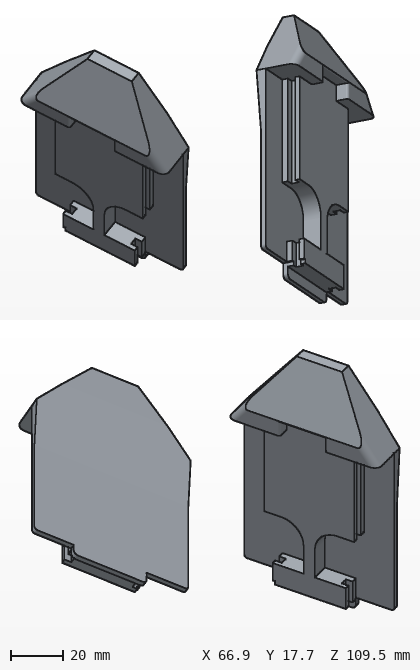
import cadquery as cq

total_height = 109.5
total_width = 66.9
half_width = total_width / 2
depth = 17.7

plate_back = 3.0
plate_front = 5.0
plate_bottom = 5.3
plate_corner_radius = 1.5
tongue_corner_radius = 2.0

head_bottom = 79.7
head_top_half_width = 10.1
head_top_thickness = 4.9
head_slope_end = 86.7
head_edge_radius = 3.0

taper_bottom = 54.8
taper_top = 93.1

raised_front = 12.6
block_half_width = 19.9
block_bottom = 37.6
neck_half_width = 2.5
neck_radius = 10.0
foot_half_width = 16.3
foot_bottom = 4.6
foot_top = 14.5

groove_back = 7.6
groove_front = 10.6
groove_depth = 3.0

step_height = 6.2
step_edge = 15.3

notch_half_width = 10.0
notch_side_radius = 1.0
notch_top_radius = 0.5
notch_top = head_slope_end - notch_top_radius


def box(x_min, x_max, back, front, z_min, z_max):
    """Box between two X limits, two distances in front of Y = 0 and two heights."""
    size = (x_max - x_min, front - back, z_max - z_min)
    return cq.Workplane("XY").box(*size, centered=False).translate((x_min, -front, z_min))


def side_prism(points):
    """Prism across the full width from (distance from the back, height) points."""
    profile = cq.Workplane("YZ").polyline([(-distance, z) for distance, z in points]).close()
    return profile.extrude(half_width, both=True)


def make_plate():
    plate = box(-half_width, half_width, 0, plate_front, plate_bottom, head_bottom)
    left_step = box(-half_width, -step_edge, 0, plate_front, plate_bottom, step_height)
    plate = plate.cut(left_step)
    plate = plate.edges("|Y and >X").edges("<Z").fillet(plate_corner_radius)
    plate = plate.edges("|Y and <X").edges("<Z").fillet(plate_corner_radius)
    tongue = box(-step_edge, foot_half_width, 0, plate_front, 0, foot_top)
    tongue = tongue.edges("|Y and <Z").fillet(tongue_corner_radius)
    return plate.union(tongue)


def make_head():
    head = (
        cq.Workplane("XZ")
        .moveTo(-half_width, head_bottom)
        .lineTo(half_width, head_bottom)
        .lineTo(head_top_half_width, total_height)
        .lineTo(-head_top_half_width, total_height)
        .close()
        .extrude(depth)
    )
    head = head.faces("<Y").edges("not |X").fillet(head_edge_radius)
    slope = side_prism([
        (head_top_thickness, total_height),
        (depth, head_slope_end),
        (depth, total_height),
    ])
    return head.cut(slope)


def make_raised_section():
    block = box(-block_half_width, block_half_width, plate_front, raised_front, block_bottom, head_bottom)
    foot = box(-foot_half_width, foot_half_width, plate_front, raised_front, foot_bottom, foot_top)
    neck_outer = neck_half_width + neck_radius
    arc_bottom = block_bottom - neck_radius
    neck = (
        cq.Workplane("XZ", origin=(0, -plate_front, 0))
        .moveTo(-neck_half_width, foot_top)
        .lineTo(neck_half_width, foot_top)
        .lineTo(neck_half_width, arc_bottom)
        .radiusArc((neck_outer, block_bottom), neck_radius)
        .lineTo(-neck_outer, block_bottom)
        .radiusArc((-neck_half_width, arc_bottom), neck_radius)
        .close()
        .extrude(raised_front - plate_front)
    )
    raised = block.union(neck).union(foot)
    for outer, z_min, z_max in (
        (block_half_width, block_bottom, head_bottom),
        (foot_half_width, foot_bottom, foot_top),
    ):
        inner = outer - groove_depth
        raised = raised.cut(box(inner, outer, groove_back, groove_front, z_min, z_max))
        raised = raised.cut(box(-outer, -inner, groove_back, groove_front, z_min, z_max))
    foot_step = box(-foot_half_width, -step_edge, plate_front, raised_front, foot_bottom, step_height)
    return raised.cut(foot_step)


def make_notch():
    """Notch open at the front, flared outward to round over its front edges."""
    flare_start = depth - notch_side_radius
    top_flare_start = depth - notch_top_radius
    flare_half_width = notch_half_width + notch_side_radius
    notch = box(-notch_half_width, notch_half_width, raised_front, depth, head_bottom, notch_top)
    flare = box(-flare_half_width, flare_half_width, flare_start, depth, head_bottom, head_slope_end)
    for side in (-1, 1):
        side_rounding = (
            cq.Workplane("XY", origin=(side * flare_half_width, -flare_start, head_bottom))
            .circle(notch_side_radius)
            .extrude(head_slope_end - head_bottom)
        )
        flare = flare.cut(side_rounding)
    top_rounding = (
        cq.Workplane("YZ", origin=(0, -top_flare_start, head_slope_end))
        .circle(notch_top_radius)
        .extrude(flare_half_width, both=True)
    )
    above_ceiling = box(
        -flare_half_width, flare_half_width, flare_start, top_flare_start, notch_top, head_slope_end
    )
    return notch.union(flare.cut(top_rounding).cut(above_ceiling))


back_relief = side_prism([
    (0, 0),
    (plate_back, 0),
    (plate_back, taper_bottom),
    (0, taper_top),
])

result = make_plate().union(make_head()).union(make_raised_section())
result = result.cut(make_notch()).cut(back_relief)